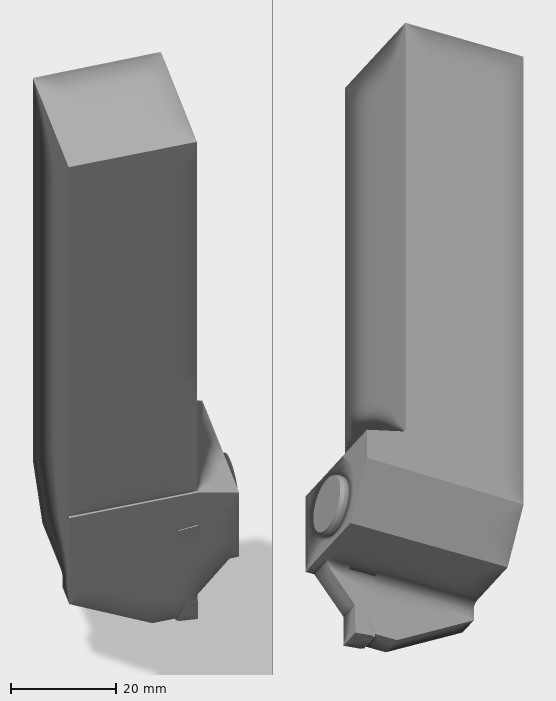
import cadquery as cq
import math

total_length = 127.0
shank_width = 25.15
shank_height = 25.4
side_lean = 0.25

head_height = 33.6
head_bottom = 14.3
shoulder_top = 33.6
shoulder_outer = 31.5
shoulder_fillet = 0.5
head_side_step = 0.45
head_right = shank_width + head_side_step
corner_cut_width = 6.7
corner_cut_top = 24.7

blade_thickness = 4.7
blade_left = head_right - blade_thickness
blade_bottom = 1.1
blade_nose_y = 16.4
blade_slope_angle = 30.0
blade_top_y = 31.7
root_fillet = 1.3

insert_length = 25.0
insert_bottom = 21.1
insert_top = 26.8
edge_y = shank_height
edge_width = 5.1
rake_length = 6.4
front_clearance = 0.5
tip_length = 4.8
tip_back_width = 4.74
tip_back_y = 23.5
tip_lower_y = 21.6
tip_lower_z = 0.9
insert_center_x = head_right - blade_thickness / 2

screw_diameter = 11.86
screw_height = 1.9
screw_chamfer_height = 0.8
screw_chamfer_width = 0.3
screw_x = 12.9
screw_z = 21.75

upper_slope = (head_bottom - rake_length) / (blade_top_y - edge_y)
insert_slope_end = rake_length + (insert_top - edge_y) * upper_slope


def prism_along_x(points, start, end):
    """Extrude a (Y, Z) outline from X = start to X = end."""
    return cq.Workplane("YZ", origin=(start, 0, 0)).polyline(points).close().extrude(end - start)


def leaning_side_x(y):
    """X of the leaning -X face of the holder at a given Y."""
    return -side_lean * y / head_height


def make_bar(width, height, bottom, top):
    """Bar along Z whose -X side is the leaning face."""
    outline = [
        (0, 0),
        (leaning_side_x(height), height),
        (width, height),
        (width, 0),
    ]
    return cq.Workplane("XY", origin=(0, 0, bottom)).polyline(outline).close().extrude(top - bottom)


def make_shank():
    """Shank with the rounded corner that runs into the sloped shoulder of the head."""
    side_outline = [
        (0, shoulder_outer),
        (0, total_length),
        (shank_height, total_length),
        (shank_height, shoulder_top),
        (head_height, shoulder_outer),
    ]
    profile = prism_along_x(side_outline, -side_lean, shank_width)
    inner_corner = cq.selectors.NearestToPointSelector((shank_width / 2, shank_height, shoulder_top))
    profile = profile.edges("|X").edges(inner_corner).fillet(shoulder_fillet)
    return profile.intersect(make_bar(shank_width, head_height, shoulder_outer, total_length))


def make_head():
    side_outline = [
        (0, head_bottom),
        (0, shoulder_top),
        (shank_height, shoulder_top),
        (head_height, shoulder_outer),
        (head_height, head_bottom),
    ]
    head = prism_along_x(side_outline, -side_lean, head_right)
    bar = make_bar(head_right, head_height, head_bottom, shoulder_top)

    cut_slope = (corner_cut_top - head_bottom) / corner_cut_width
    corner_outline = [
        (-side_lean, corner_cut_top + cut_slope * side_lean),
        (-side_lean, head_bottom),
        (corner_cut_width, head_bottom),
    ]
    corner = cq.Workplane("XZ").polyline(corner_outline).close().extrude(-head_height)
    return head.intersect(bar).cut(corner)


def make_blade():
    slope_rise = blade_nose_y * math.tan(math.radians(blade_slope_angle))
    outline = [
        (0, head_bottom),
        (0, blade_bottom + slope_rise),
        (blade_nose_y, blade_bottom),
        (insert_bottom, blade_bottom),
        (insert_bottom, rake_length),
        (edge_y, rake_length),
        (blade_top_y, head_bottom),
    ]
    plate = prism_along_x(outline, blade_left, head_right)

    fillet_start = blade_left - root_fillet
    root = prism_along_x(outline, fillet_start, blade_left)
    root_zone = (
        cq.Workplane("XZ")
        .moveTo(blade_left, head_bottom)
        .lineTo(fillet_start, head_bottom)
        .radiusArc((blade_left, head_bottom - root_fillet), root_fillet)
        .close()
        .extrude(-head_height)
    )
    insert_window = (
        cq.Workplane("XY")
        .box(root_fillet, insert_top - insert_bottom, head_bottom, centered=False)
        .translate((fillet_start, insert_bottom, 0))
    )
    return plate.union(root.intersect(root_zone).cut(insert_window))


def make_screw_head():
    radius = screw_diameter / 2
    profile = [
        (0, 0),
        (radius, 0),
        (radius, screw_height - screw_chamfer_height),
        (radius - screw_chamfer_width, screw_height),
        (0, screw_height),
    ]
    screw = cq.Workplane("XY").polyline(profile).close().revolve(360, (0, 0), (0, 1))
    return screw.translate((screw_x, head_height, screw_z))


def end_face_z(y):
    """Z of the lower end face of the insert, set back towards its underside."""
    return front_clearance * (edge_y - y) / (edge_y - insert_bottom)


def make_insert_tip():
    """Widened lower tip: widest at the cutting edge, narrowing behind it."""
    side_outline = [
        (edge_y, 0),
        (edge_y, tip_length),
        (tip_back_y, tip_length),
        (tip_lower_y, tip_lower_z),
        (tip_lower_y, end_face_z(tip_lower_y)),
    ]
    edge_left = insert_center_x - edge_width / 2
    edge_right = insert_center_x + edge_width / 2
    tip = prism_along_x(side_outline, edge_left, edge_right)
    width_outline = [
        (edge_left, 0),
        (edge_right, 0),
        (insert_center_x + tip_back_width / 2, tip_length),
        (insert_center_x - tip_back_width / 2, tip_length),
    ]
    wedge = cq.Workplane("XZ").polyline(width_outline).close().extrude(-edge_y)
    return tip.intersect(wedge)


def make_insert():
    outline = [
        (insert_bottom, front_clearance),
        (edge_y, 0),
        (edge_y, rake_length),
        (insert_top, insert_slope_end),
        (insert_top, insert_length - insert_slope_end),
        (edge_y, insert_length - rake_length),
        (edge_y, insert_length),
        (insert_bottom, insert_length - front_clearance),
    ]
    lower_tip = make_insert_tip()
    upper_tip = lower_tip.mirror("XY", (0, 0, insert_length / 2))
    return prism_along_x(outline, blade_left, head_right).union(lower_tip).union(upper_tip)


insert = make_insert()
holder = make_shank().union(make_head()).union(make_blade()).union(make_screw_head()).cut(insert)

result = cq.Compound.makeCompound([holder.val(), insert.val()])